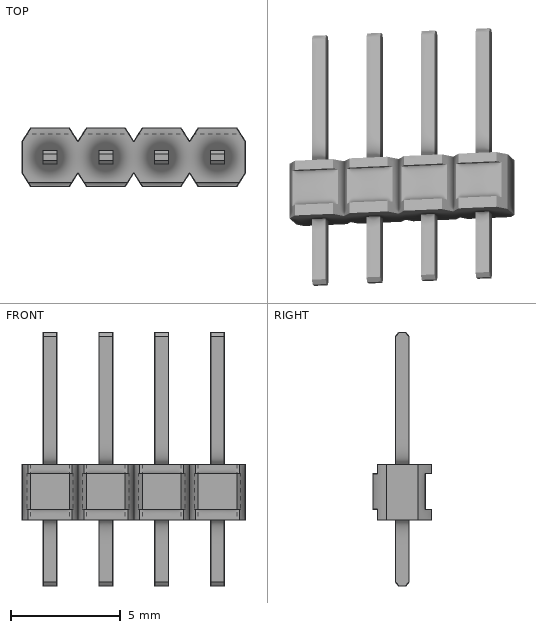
import cadquery as cq

pin_count = 4
pitch = 2.54

body_height = 2.54
body_depth = 2.67
body_length = pin_count * pitch
end_flat_depth = 1.43
face_width = 1.75

band_bottom = 0.5
band_height = 1.62
band_top = band_bottom + band_height
rear_recess = 0.28
front_step = 0.2

pin_size = 0.63
pin_above = 6.0
pin_below = 3.0
tip_flat = 0.31
tip_height = 0.2

pin_positions = [(i - (pin_count - 1) / 2) * pitch for i in range(pin_count)]


def body_cell(x):
    """One octagonal cell; neighbours meet on their end flats and leave V notches."""
    half_pitch = pitch / 2
    half_face = face_width / 2
    half_flat = end_flat_depth / 2
    half_depth = body_depth / 2
    outline = [
        (x - half_pitch, -half_flat),
        (x - half_face, -half_depth),
        (x + half_face, -half_depth),
        (x + half_pitch, -half_flat),
        (x + half_pitch, half_flat),
        (x + half_face, half_depth),
        (x - half_face, half_depth),
        (x - half_pitch, half_flat),
    ]
    return cq.Workplane("XY").polyline(outline).close().extrude(body_height)


def full_length_cut(y_min, depth, z_min, height):
    """Rectangular bar along the whole body, used to cut back its long sides."""
    return cq.Workplane("XY").box(body_length, depth, height, centered=(True, False, False)).translate(
        (0, y_min, z_min)
    )


def pin(x):
    """Square pin whose two ends taper along Y only."""
    half_size = pin_size / 2
    half_tip = tip_flat / 2
    bottom = -pin_below
    top = body_height + pin_above
    profile = [
        (-half_tip, bottom),
        (half_tip, bottom),
        (half_size, bottom + tip_height),
        (half_size, top - tip_height),
        (half_tip, top),
        (-half_tip, top),
        (-half_size, top - tip_height),
        (-half_size, bottom + tip_height),
    ]
    side_plane = cq.Workplane("YZ", origin=(x - half_size, 0, 0))
    return side_plane.polyline(profile).close().extrude(pin_size)


body = body_cell(pin_positions[0])
for x in pin_positions[1:]:
    body = body.union(body_cell(x))

body = body.cut(full_length_cut(body_depth / 2 - rear_recess, rear_recess, band_bottom, band_height))

body = body.cut(full_length_cut(-body_depth / 2, front_step, 0, band_bottom))
body = body.cut(full_length_cut(-body_depth / 2, front_step, band_top, body_height - band_top))

result = body
for x in pin_positions:
    result = result.union(pin(x))